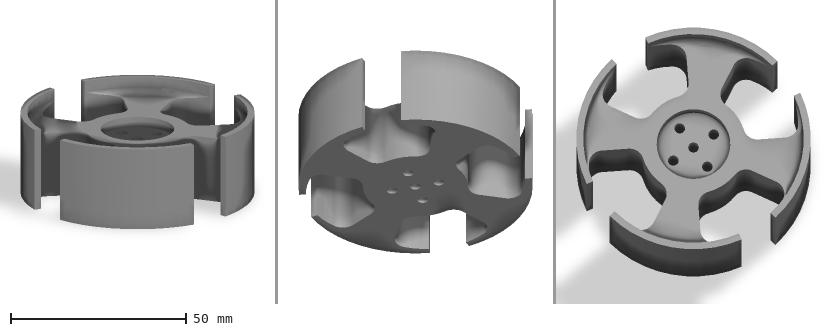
import cadquery as cq
import math

OVERALL_WIDTH = 65.9
HEIGHT = 24.0

GAP_HALF_ANGLE = 10.0
WALL_THICKNESS = 2.0
OUTER_RADIUS = OVERALL_WIDTH / 2 / math.cos(math.radians(GAP_HALF_ANGLE))
INNER_RADIUS = OUTER_RADIUS - WALL_THICKNESS

WALL_RISE = 5.0
FLOOR_HEIGHT = HEIGHT - WALL_RISE
HUB_RADIUS = 15.0
WINDOW_HALF_ANGLE = 30.0
WINDOW_CORNER_RADIUS = 4.0
WINDOW_ARC_CENTRE = 10.55
FLOOR_FILLET = 2.0

RECESS_DIAMETER = 21.0
RECESS_DEPTH = 3.0
HOLE_DIAMETER = 3.0
HOLE_OFFSET = 7.0

QUARTER_TURNS = [0, 90, 180, 270]


def polar(radius, angle):
    """Point at a radius and an angle in degrees from the X axis."""
    return (radius * math.cos(math.radians(angle)), radius * math.sin(math.radians(angle)))


def cup():
    """Solid disc with a raised rim, blended where the floor meets the wall."""
    body = cq.Workplane("XY").circle(OUTER_RADIUS).extrude(HEIGHT)
    bowl = cq.Workplane("XY").workplane(offset=FLOOR_HEIGHT).circle(INNER_RADIUS).extrude(WALL_RISE)
    return body.cut(bowl.faces("<Z").edges().fillet(FLOOR_FILLET))


def window():
    """Opening between hub and rim, centred on the X axis, with radial sides and rounded corners.

    The outer side is an arc about an off-centre point that meets the rim wall at the gap corners
    and draws away from it toward the arms.
    """
    gap_corner_x, gap_corner_y = polar(INNER_RADIUS, GAP_HALF_ANGLE)
    arc_radius = math.hypot(gap_corner_x - WINDOW_ARC_CENTRE, gap_corner_y)
    along, across = polar(WINDOW_ARC_CENTRE, WINDOW_HALF_ANGLE)
    corner_distance = along + math.sqrt(arc_radius**2 - across**2)
    return (
        cq.Workplane("XY")
        .moveTo(*polar(HUB_RADIUS, -WINDOW_HALF_ANGLE))
        .lineTo(*polar(corner_distance, -WINDOW_HALF_ANGLE))
        .threePointArc((WINDOW_ARC_CENTRE + arc_radius, 0), polar(corner_distance, WINDOW_HALF_ANGLE))
        .lineTo(*polar(HUB_RADIUS, WINDOW_HALF_ANGLE))
        .threePointArc((HUB_RADIUS, 0), polar(HUB_RADIUS, -WINDOW_HALF_ANGLE))
        .close()
        .extrude(HEIGHT)
        .edges("|Z")
        .fillet(WINDOW_CORNER_RADIUS)
    )


def rim_gap():
    """Radial-sided wedge that opens the rim on the X axis, starting within the window."""
    wedge_length = OVERALL_WIDTH
    mid_window = (HUB_RADIUS + INNER_RADIUS) / 2
    wedge = (
        cq.Workplane("XY")
        .polyline([(0, 0), polar(wedge_length, -GAP_HALF_ANGLE), polar(wedge_length, GAP_HALF_ANGLE)])
        .close()
        .extrude(HEIGHT)
    )
    return wedge.cut(cq.Workplane("XY").circle(mid_window).extrude(HEIGHT))


result = cup()

opening = window().union(rim_gap())
for turn in QUARTER_TURNS:
    result = result.cut(opening.rotate((0, 0, 0), (0, 0, 1), turn))

recess_floor = FLOOR_HEIGHT - RECESS_DEPTH
recess = cq.Workplane("XY").workplane(offset=recess_floor).circle(RECESS_DIAMETER / 2).extrude(RECESS_DEPTH)
result = result.cut(recess)

hole_centres = [(0, 0)] + [polar(HOLE_OFFSET, turn) for turn in QUARTER_TURNS]
holes = cq.Workplane("XY").pushPoints(hole_centres).circle(HOLE_DIAMETER / 2).extrude(HEIGHT)
result = result.cut(holes)